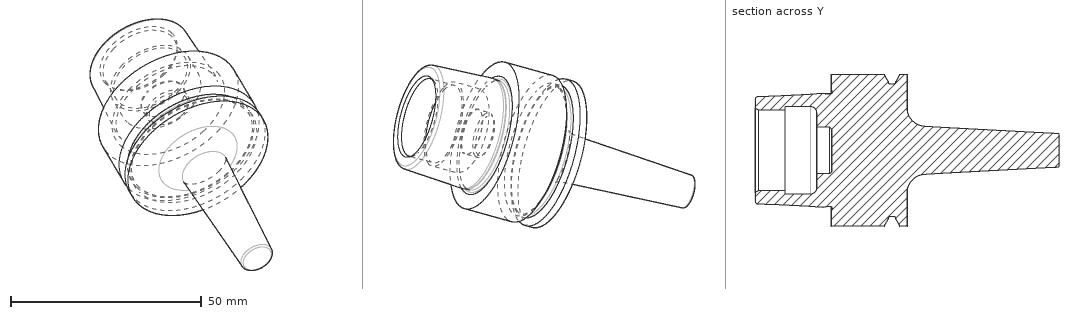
import cadquery as cq

total_length = 80.0
flange_radius = 20.0
shank_length = 20.0
flange_end = 40.0

shank_slope = 1 / 20
gauge_radius = 15.0
gauge_position = 16.8
shank_end_fillet = 0.8
taper_end = 17.9
relief_start = 18.7
relief_radius = 14.9
relief_fillet = 1.0

recess_outer_radius = 16.1
recess_depth = 0.4
recess_fillet = 0.4

groove_start = 34.0
groove_end = 38.0
groove_side_length = 1.0
groove_floor_start = groove_start + groove_side_length
groove_floor_end = groove_end - groove_side_length
groove_radius = 17.5
groove_wall_radius = 18.1
groove_fillet = 0.4

nose_base_radius = 6.6
nose_tip_radius = 4.5
nose_fillet = 4.8
nose_tip_fillet = 0.5

mouth_radius = 10.6
mouth_length = 7.9
mouth_chamfer_length = 0.9
mouth_chamfer_height = 0.5
chamber_radius = 11.4
chamber_floor = 16.2
chamber_fillet = 1.6

hole_radius = 6.1
hole_mouth_chamfer = 0.2
hole_depth = 4.0
hole_bottom_chamfer = 0.6

AXIS_START = (0, 0, 0)
AXIS_END = (1, 0, 0)


def shank_radius(x):
    return gauge_radius + (x - gauge_position) * shank_slope


def turn(points):
    """Turn an (x, radius) outline, closed along the axis, about X."""
    return cq.Workplane("XY").polyline(points).close().revolve(360, AXIS_START, AXIS_END)


def edges_at(x, radius):
    """Select the circular edges at one position and radius."""
    tolerance = 0.01
    low = (x - tolerance, -radius - tolerance, -radius - tolerance)
    high = (x + tolerance, radius + tolerance, radius + tolerance)
    return cq.selectors.BoxSelector(low, high, boundingbox=True)


def make_body():
    recess_end = shank_length + recess_depth
    body = turn([
        (0, 0),
        (0, shank_radius(0)),
        (taper_end, shank_radius(taper_end)),
        (relief_start, relief_radius),
        (recess_end, relief_radius),
        (shank_length, recess_outer_radius),
        (shank_length, flange_radius),
        (groove_start, flange_radius),
        (groove_floor_start, groove_wall_radius),
        (groove_floor_start, groove_radius),
        (groove_floor_end, groove_radius),
        (groove_floor_end, groove_wall_radius),
        (groove_end, flange_radius),
        (flange_end, flange_radius),
        (flange_end, nose_base_radius),
        (total_length, nose_tip_radius),
        (total_length, 0),
    ])
    rounded_corners = [
        (0, shank_radius(0), shank_end_fillet),
        (relief_start, relief_radius, relief_fillet),
        (recess_end, relief_radius, recess_fillet),
        (groove_floor_start, groove_radius, groove_fillet),
        (groove_floor_end, groove_radius, groove_fillet),
        (flange_end, nose_base_radius, nose_fillet),
        (total_length, nose_tip_radius, nose_tip_fillet),
    ]
    for x, radius, fillet in rounded_corners:
        body = body.edges(edges_at(x, radius)).fillet(fillet)
    return body


def make_bore():
    chamber = turn([
        (0, 0),
        (0, mouth_radius + mouth_chamfer_height),
        (mouth_chamfer_length, mouth_radius),
        (mouth_length, mouth_radius),
        (mouth_length, chamber_radius),
        (chamber_floor, chamber_radius),
        (chamber_floor, 0),
    ])
    chamber = chamber.edges(edges_at(chamber_floor, chamber_radius)).fillet(chamber_fillet)
    hole_end = chamber_floor + hole_depth
    hole = turn([
        (chamber_floor, 0),
        (chamber_floor, hole_radius + hole_mouth_chamfer),
        (chamber_floor + hole_mouth_chamfer, hole_radius),
        (hole_end - hole_bottom_chamfer, hole_radius),
        (hole_end, hole_radius - hole_bottom_chamfer),
        (hole_end, 0),
    ])
    return chamber.union(hole)


result = make_body().cut(make_bore())